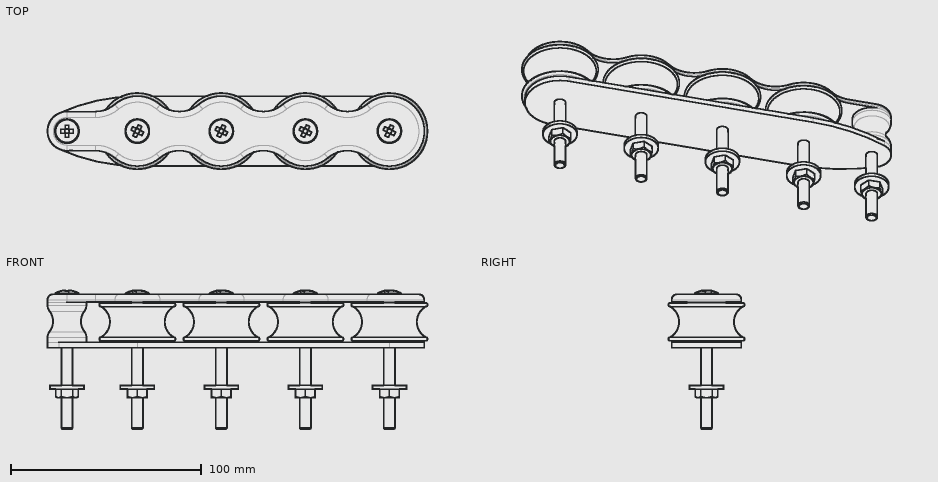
import cadquery as cq
import math

post_radius = 10.26
first_sheave_x = 36.9
sheave_pitch = 44.0
sheave_count = 4
sheave_xs = [first_sheave_x + i * sheave_pitch for i in range(sheave_count)]
last_sheave_x = sheave_xs[-1]

plate_end_radius = 18.3
base_thickness = 3.0
cover_bottom = 24.0
cover_thickness = 4.2
cover_top = cover_bottom + cover_thickness
cover_fillet = 3.0

sheave_radius = 20.02
sheave_height = 20.0
sheave_waist_radius = 14.45
lip_thickness = 2.0
sheave_middle = 13.5

post_waist_radius = 7.4
post_waist_middle = 13.85
post_waist_half_height = 8.4
post_blend_height = 3.0

bolt_diameter = 6.0
bolt_bottom = -42.6
bolt_chamfer = 0.5
head_base_diameter = 12.8
head_rim_diameter = 12.0
head_rim_height = 0.5
head_height = 2.2
slot_length = 6.4
slot_width = 2.0
slot_depth = 1.4
slot_center_diameter = 2.4
slot_center_depth = 2.0
washer_diameter = 18.0
washer_top = -19.7
washer_thickness = 2.0
nut_corner_diameter = 12.0
nut_height = 4.5
nut_end_diameter = 10.0
nut_chamfer_height = 0.8

post_slot_angle = 0.0
sheave_slot_angle = 63.0
post_nut_angle = 0.0
sheave_nut_angle = 30.0


def disc(radius, bottom, height, x=0.0):
    return cq.Workplane("XY", origin=(x, 0, bottom)).circle(radius).extrude(height)


def point_on_circle(center, radius, angle):
    """Point on a circle at an angle measured from the +Y direction toward +X."""
    return (center[0] + radius * math.sin(angle), center[1] + radius * math.cos(angle))


def symmetric_plate(side, bottom, thickness):
    """Plate mirrored about the X axis, with round ends about the post and the last sheave axis.

    The side holds (point, middle) pairs from the post to the far end; each middle lies on the
    arc that leads to its point, and is None where a straight line leads there.
    """
    start = side[0][0]
    end_x, end_y = side[-1][0]
    outline = cq.Workplane("XY", origin=(0, 0, bottom)).moveTo(*start)
    for point, middle in side[1:]:
        outline = outline.lineTo(*point) if middle is None else outline.threePointArc(middle, point)
    outline = outline.threePointArc((last_sheave_x + plate_end_radius, 0), (end_x, -end_y))
    for (_, middle), (point, _) in zip(side[:0:-1], side[-2::-1]):
        mirrored = (point[0], -point[1])
        if middle is None:
            outline = outline.lineTo(*mirrored)
        else:
            outline = outline.threePointArc((middle[0], -middle[1]), mirrored)
    outline = outline.threePointArc((-post_radius, 0), start)
    return outline.close().extrude(thickness)


def make_base():
    """Flat plate whose long side arcs run tangent from the post into the straight sides."""
    side_radius = (first_sheave_x**2 + plate_end_radius**2 - post_radius**2) / (
        2 * (plate_end_radius - post_radius)
    )
    side_center = (first_sheave_x, plate_end_radius - side_radius)
    side_sweep = math.asin(first_sheave_x / (side_radius - post_radius))
    side = [
        (point_on_circle((0, 0), post_radius, -side_sweep), None),
        ((first_sheave_x, plate_end_radius), point_on_circle(side_center, side_radius, -side_sweep / 2)),
        ((last_sheave_x, plate_end_radius), None),
    ]
    return symmetric_plate(side, 0, base_thickness)


def make_cover():
    """Scalloped plate: a round lobe over each sheave, necks as wide as the post between them."""
    half_pitch = sheave_pitch / 2
    neck_radius = (half_pitch**2 + post_radius**2 - plate_end_radius**2) / (
        2 * (plate_end_radius - post_radius)
    )
    neck_center_y = post_radius + neck_radius
    joint_angle = math.atan2(half_pitch, neck_center_y)
    joint_dx, joint_y = point_on_circle((0, 0), plate_end_radius, joint_angle)

    first_neck_center = (first_sheave_x - half_pitch, neck_center_y)
    first_neck_middle = point_on_circle(first_neck_center, neck_radius, math.pi - joint_angle / 2)
    side = [
        ((0, post_radius), None),
        ((first_neck_center[0], post_radius), None),
        ((first_sheave_x - joint_dx, joint_y), first_neck_middle),
    ]
    for x in sheave_xs[:-1]:
        side.append(((x + joint_dx, joint_y), (x, plate_end_radius)))
        side.append(((x + sheave_pitch - joint_dx, joint_y), (x + half_pitch, post_radius)))

    cover = symmetric_plate(side, cover_bottom, cover_thickness)
    return cover.faces(">Z").edges().fillet(cover_fillet)


def make_sheave(x):
    """Roller with a round groove between two full-round lips."""
    half_height = sheave_height / 2
    groove_half_height = half_height - lip_thickness
    lip_middle = half_height - lip_thickness / 2
    lip_root_radius = sheave_radius - lip_thickness / 2
    profile = (
        cq.Workplane("XZ")
        .moveTo(0, -half_height)
        .lineTo(lip_root_radius, -half_height)
        .threePointArc((sheave_radius, -lip_middle), (lip_root_radius, -groove_half_height))
        .threePointArc((sheave_waist_radius, 0), (lip_root_radius, groove_half_height))
        .threePointArc((sheave_radius, lip_middle), (lip_root_radius, half_height))
        .lineTo(0, half_height)
        .close()
    )
    return profile.revolve(360, (0, 0), (0, 1)).translate((x, 0, sheave_middle))


def make_post():
    """Round post with a smooth waist: each end blends through an outward arc into the inward one."""
    waist_bottom = post_waist_middle - post_waist_half_height
    waist_top = post_waist_middle + post_waist_half_height
    blend_share = post_blend_height / post_waist_half_height
    blend_radius = post_radius - (post_radius - post_waist_radius) * blend_share
    profile = (
        cq.Workplane("YZ")
        .moveTo(0, 0)
        .lineTo(post_radius, 0)
        .lineTo(post_radius, waist_bottom)
        .tangentArcPoint((blend_radius, waist_bottom + post_blend_height), relative=False)
        .threePointArc((post_waist_radius, post_waist_middle), (blend_radius, waist_top - post_blend_height))
        .tangentArcPoint((post_radius, waist_top), relative=False)
        .lineTo(post_radius, cover_bottom)
        .lineTo(0, cover_bottom)
        .close()
    )
    return profile.revolve(360, (0, 0), (0, 1))


def make_head(slot_angle):
    """Bolt head with a bevelled rim, a domed top and a cross slot around a round pit."""
    rim_radius = head_rim_diameter / 2
    rim_top = cover_top + head_rim_height
    head_top = cover_top + head_height
    dome_height = head_height - head_rim_height
    dome_radius = (rim_radius**2 + dome_height**2) / (2 * dome_height)
    dome_half_angle = math.asin(rim_radius / dome_radius)
    dome_middle = point_on_circle((0, head_top - dome_radius), dome_radius, dome_half_angle / 2)
    profile = (
        cq.Workplane("XZ")
        .moveTo(0, cover_top)
        .lineTo(head_base_diameter / 2, cover_top)
        .lineTo(rim_radius, rim_top)
        .threePointArc(dome_middle, (0, head_top))
        .close()
    )
    head = profile.revolve(360, (0, 0), (0, 1))
    slot_plane = cq.Workplane("XY", origin=(0, 0, head_top - slot_depth))
    arm = slot_plane.rect(slot_length, slot_width).extrude(head_height)
    cross = arm.union(arm.rotate((0, 0, 0), (0, 0, 1), 90))
    cross = cross.union(disc(slot_center_diameter / 2, head_top - slot_center_depth, head_height))
    return head.cut(cross.rotate((0, 0, 0), (0, 0, 1), slot_angle))


def make_nut(nut_angle):
    """Hexagonal nut with its lower corners turned off to a cone."""
    top = washer_top - washer_thickness
    bottom = top - nut_height
    corner_radius = nut_corner_diameter / 2
    hexagon = cq.Workplane("XY", origin=(0, 0, bottom)).polygon(6, nut_corner_diameter).extrude(nut_height)
    envelope = (
        cq.Workplane("XZ")
        .moveTo(0, bottom)
        .lineTo(nut_end_diameter / 2, bottom)
        .lineTo(corner_radius, bottom + nut_chamfer_height)
        .lineTo(corner_radius, top)
        .lineTo(0, top)
        .close()
        .revolve(360, (0, 0), (0, 1))
    )
    return hexagon.intersect(envelope).rotate((0, 0, 0), (0, 0, 1), nut_angle)


def make_bolt(x, slot_angle, nut_angle):
    shank = disc(bolt_diameter / 2, bolt_bottom, cover_bottom - bolt_bottom)
    shank = shank.faces("<Z").edges().chamfer(bolt_chamfer)
    washer = disc(washer_diameter / 2, washer_top - washer_thickness, washer_thickness)
    bolt = shank.union(washer).union(make_nut(nut_angle)).union(make_head(slot_angle))
    return bolt.translate((x, 0, 0))


result = make_base().union(make_post()).union(make_cover())
result = result.union(make_bolt(0, post_slot_angle, post_nut_angle))
for sheave_x in sheave_xs:
    result = result.union(make_sheave(sheave_x))
    result = result.union(make_bolt(sheave_x, sheave_slot_angle, sheave_nut_angle))